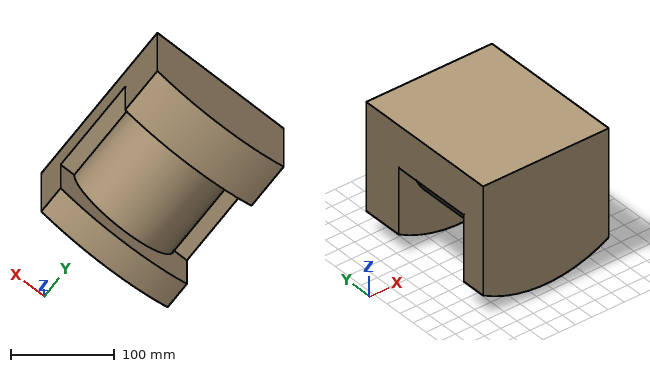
import cadquery as cq
import math

width = 155.0
length = 180.0
height = 149.5
bottom_radius = width

front_leg = 30.0
rear_leg = 50.0
roof_thickness = 50.0

rib_radius = 60.8

gap_length = length - front_leg - rear_leg
gap_front = -length / 2 + front_leg
bottom_sag = bottom_radius - math.sqrt(bottom_radius**2 - (width / 2) ** 2)
side_height = height - bottom_sag


def block_along_y(outline, front, depth):
    """Extrude an XZ outline toward +Y, starting at Y = front."""
    return outline.extrude(-depth).translate((0, front, 0))


def body():
    outline = (
        cq.Workplane("XZ")
        .moveTo(-width / 2, 0)
        .lineTo(width / 2, 0)
        .lineTo(width / 2, -side_height)
        .threePointArc((0, -height), (-width / 2, -side_height))
        .close()
    )
    return block_along_y(outline, -length / 2, length)


def gap():
    gap_height = height - roof_thickness
    outline = cq.Workplane("XZ").center(0, -roof_thickness - gap_height / 2).rect(width, gap_height)
    return block_along_y(outline, gap_front, gap_length)


def rib():
    outline = (
        cq.Workplane("XZ")
        .moveTo(-rib_radius, -roof_thickness)
        .threePointArc((0, -roof_thickness - rib_radius), (rib_radius, -roof_thickness))
        .close()
    )
    return block_along_y(outline, gap_front, gap_length)


result = body().cut(gap()).union(rib())